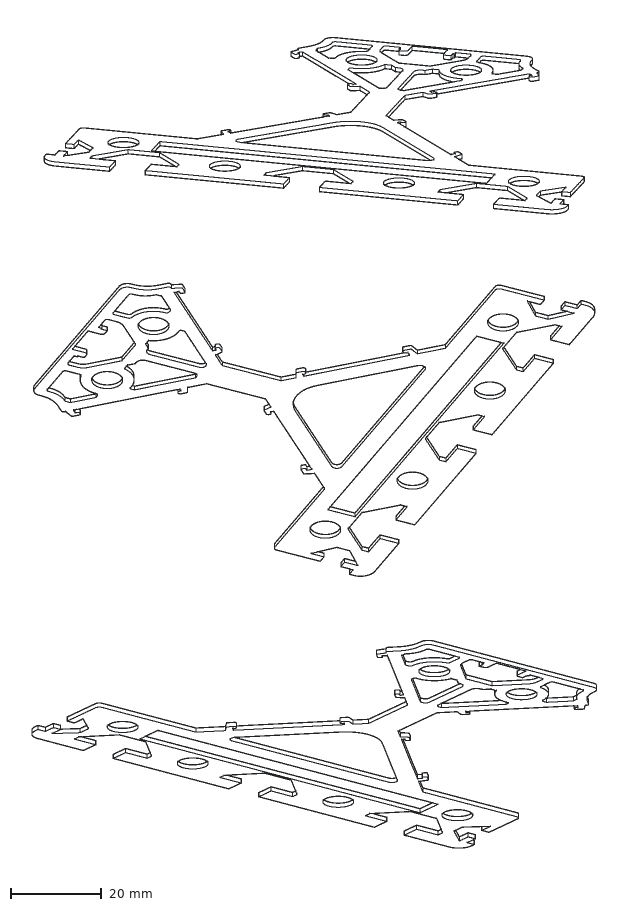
import cadquery as cq
import math


WIDTH = 120.0
HEIGHT = 99.0
THICKNESS = 1.0
HALF_WIDTH = WIDTH / 2

BASE_TOP = 24.1
BASE_EDGE_X = 58.0
BASE_CORNER_R = 1.0
FOOT_TOP = 4.6
FOOT_R = 3.5
HOLE_D = 6.8
BASE_HOLES = [(20.0, 8.0), (46.0, 17.0)]
WINDOW_HALF_LENGTH = 38.5
WINDOW_BOTTOM = 13.3
WINDOW_TOP = 19.9

T_SLOT_PITCH = 40.0
T_SLOT_MOUTH_HALF = 4.1
T_SLOT_HALF = 10.0
T_SLOT_ROOF_HALF = 3.6
T_SLOT_SHOULDER = 6.2
T_SLOT_ROOF = T_SLOT_SHOULDER + T_SLOT_HALF - T_SLOT_ROOF_HALF

END_SLOT_Y = 10.1
END_SLOT_MOUTH_HALF = 2.5
END_SLOT_HALF = 5.7
END_SLOT_FLOOR_HALF = 1.55
END_SLOT_LIP_X = 56.0
END_SLOT_FLOOR_X = 51.4

LEG_ANGLE = 135.0
LEG_OUTER_SUM = 55.3
LEG_INNER_SUM = 48.9
LEG_WINDOW_BOTTOM = 24.5
LEG_WINDOW_TOP_R = 8.0
LEG_WINDOW_CORNER_R = 1.2

NECK_HALF = 4.05
ARM_ANGLE = 45.0
ARM_OUTER_DIFF = 61.5
ARM_INNER_DIFF = 65.9

HEAD_HALF = 23.9
HEAD_CORNER_R = 2.0
HEAD_SIDE_BOTTOM = 93.5
HEAD_SIDE_R = 7.0
ARM_TIP_R = 0.6

HEAD_HOLE = (12.0, 86.0)
HOLE_BOSS_R = 5.95
POCKET_R = 0.6
SIDE_POCKET_TOP = 96.3
SIDE_POCKET_INNER_X = 12.5
SIDE_POCKET_WALL_X = 21.6
SIDE_POCKET_WALL_BOTTOM = 92.8
SIDE_POCKET_OUTER_X = 23.6
SIDE_POCKET_OUTER_TOP = 90.8
SIDE_POCKET_WALL_R = 6.0
SIDE_POCKET_BOTTOM = 85.3
LOWER_POCKET_INNER_X = 1.3
LOWER_POCKET_OUTER_X = 13.0
LOWER_POCKET_BOTTOM = 68.8
LOWER_POCKET_TOP = 84.5
LOWER_POCKET_STEP_Y = 83.2
LOWER_POCKET_BEVEL_X = 4.7
LOWER_POCKET_TOP_R = 1.5
LOWER_POCKET_BOTTOM_R = 1.0
LOWER_POCKET_TIP_R = 0.4
CENTER_POCKET_HALF = 10.1
CENTER_POCKET_FLOOR_HALF = 3.6
CENTER_POCKET_FLOOR = 86.4
CENTER_POCKET_SHOULDER_R = 3.0
CENTER_POCKET_SHOULDER = CENTER_POCKET_FLOOR + CENTER_POCKET_HALF - CENTER_POCKET_FLOOR_HALF
CENTER_POCKET_TOP = 96.7
CENTER_RECESS_TOP = 98.2
CENTER_LIP_BOTTOM = 94.4
CENTER_LIP_OUTER_X = 6.0
CENTER_LIP_STEP_X = 6.35
CENTER_LIP_STEP_Y = 95.9
CENTER_LIP_R = 0.8

HOOK_ROOT_WIDTH = 1.8
HOOK_STEM_WIDTH = 1.2
HOOK_REACH = 0.9
HOOK_LIP = 1.15
HOOK_ROOT_DEPTH = 0.5
NECK_HOOK_HEIGHT = 1.9
NECK_HOOK_R = 0.55
END_HOOK_HEIGHT = 2.3
END_HOOK_R = 0.3
ARM_HOOKS_X = (8.5, 26.1)
LEG_HOOKS_X = (7.8, 25.3)


def plate(points):
    return cq.Workplane("XY").polyline(points).close().extrude(THICKNESS)


def disc(center, radius):
    return cq.Workplane("XY").center(*center).circle(radius).extrude(THICKNESS)


def round_corners(body, corners, radius):
    """Fillet the upright edges standing on the given outline corners."""
    reach = 0.01
    for x, y in corners:
        low = (x - reach, y - reach, -reach)
        high = (x + reach, y + reach, THICKNESS + reach)
        body = body.edges("|Z").edges(cq.selectors.BoxSelector(low, high)).fillet(radius)
    return body


def make_outline():
    foot_corner = (HALF_WIDTH, 0)
    base_corner = (BASE_EDGE_X, BASE_TOP)
    head_corner = (HEAD_HALF, HEIGHT)
    head_side = (HEAD_HALF, HEAD_SIDE_BOTTOM)
    tip_x = (HEAD_HALF + HEAD_SIDE_BOTTOM - ARM_OUTER_DIFF) / 2
    arm_tip = (tip_x, tip_x + ARM_OUTER_DIFF)
    body = plate([
        (0, 0),
        foot_corner,
        (HALF_WIDTH, FOOT_TOP),
        (BASE_EDGE_X, FOOT_TOP),
        base_corner,
        (LEG_OUTER_SUM - BASE_TOP, BASE_TOP),
        (NECK_HALF, LEG_OUTER_SUM - NECK_HALF),
        (NECK_HALF, ARM_OUTER_DIFF + NECK_HALF),
        arm_tip,
        head_side,
        head_corner,
        (0, HEIGHT),
    ])
    body = round_corners(body, [foot_corner], FOOT_R)
    body = round_corners(body, [base_corner], BASE_CORNER_R)
    body = round_corners(body, [head_corner], HEAD_CORNER_R)
    body = round_corners(body, [head_side], HEAD_SIDE_R)
    return round_corners(body, [arm_tip], ARM_TIP_R)


def make_t_slot(center_x):
    right_side = [
        (T_SLOT_MOUTH_HALF, 0),
        (T_SLOT_MOUTH_HALF, FOOT_TOP),
        (T_SLOT_HALF, FOOT_TOP),
        (T_SLOT_HALF, T_SLOT_SHOULDER),
        (T_SLOT_ROOF_HALF, T_SLOT_ROOF),
    ]
    left_side = [(-x, y) for x, y in reversed(right_side)]
    return plate(right_side + left_side).translate((center_x, 0, 0))


def make_end_slot():
    upper_side = [
        (HALF_WIDTH, END_SLOT_MOUTH_HALF),
        (END_SLOT_LIP_X, END_SLOT_MOUTH_HALF),
        (END_SLOT_LIP_X, END_SLOT_HALF),
        (END_SLOT_FLOOR_X, END_SLOT_FLOOR_HALF),
    ]
    lower_side = [(x, -y) for x, y in reversed(upper_side)]
    return plate(upper_side + lower_side).translate((0, END_SLOT_Y, 0))


def make_base_window():
    return plate([
        (0, WINDOW_BOTTOM),
        (WINDOW_HALF_LENGTH, WINDOW_BOTTOM),
        (WINDOW_HALF_LENGTH, WINDOW_TOP),
        (0, WINDOW_TOP),
    ])


def make_leg_window():
    reach = LEG_INNER_SUM - LEG_WINDOW_BOTTOM
    left = (-reach, LEG_WINDOW_BOTTOM)
    right = (reach, LEG_WINDOW_BOTTOM)
    apex = (0, LEG_INNER_SUM)
    window = plate([left, right, apex])
    window = round_corners(window, [left, right], LEG_WINDOW_CORNER_R)
    return round_corners(window, [apex], LEG_WINDOW_TOP_R)


def make_side_pocket():
    """Opening between the head side, the arm and the ring around the head hole."""
    bottom_x = SIDE_POCKET_BOTTOM - ARM_INNER_DIFF
    top_inner = (SIDE_POCKET_INNER_X, SIDE_POCKET_TOP)
    top_outer = (SIDE_POCKET_WALL_X, SIDE_POCKET_TOP)
    wall_bottom = (SIDE_POCKET_WALL_X, SIDE_POCKET_WALL_BOTTOM)
    pocket = plate([
        (SIDE_POCKET_INNER_X, SIDE_POCKET_BOTTOM),
        top_inner,
        top_outer,
        wall_bottom,
        (SIDE_POCKET_OUTER_X, SIDE_POCKET_OUTER_TOP),
        (SIDE_POCKET_OUTER_X, SIDE_POCKET_OUTER_X + ARM_INNER_DIFF),
        (bottom_x, SIDE_POCKET_BOTTOM),
    ])
    pocket = round_corners(pocket, [wall_bottom], SIDE_POCKET_WALL_R)
    pocket = pocket.cut(disc(HEAD_HOLE, HOLE_BOSS_R))
    hole_x, hole_y = HEAD_HOLE
    ring_top = hole_y + math.sqrt(HOLE_BOSS_R**2 - (SIDE_POCKET_INNER_X - hole_x) ** 2)
    ring_side = hole_x + math.sqrt(HOLE_BOSS_R**2 - (SIDE_POCKET_BOTTOM - hole_y) ** 2)
    corners = [
        top_inner,
        top_outer,
        (SIDE_POCKET_INNER_X, ring_top),
        (ring_side, SIDE_POCKET_BOTTOM),
    ]
    return round_corners(pocket, corners, POCKET_R)


def make_lower_pocket():
    """Opening between the central web, the arm and the ring around the head hole."""
    bottom_x = LOWER_POCKET_BOTTOM - ARM_INNER_DIFF
    bevel_end_x = LOWER_POCKET_BEVEL_X - (LOWER_POCKET_TOP - LOWER_POCKET_STEP_Y)
    bottom_inner = (LOWER_POCKET_INNER_X, LOWER_POCKET_BOTTOM)
    top_inner = (LOWER_POCKET_INNER_X, LOWER_POCKET_STEP_Y)
    pocket = plate([
        bottom_inner,
        (bottom_x, LOWER_POCKET_BOTTOM),
        (LOWER_POCKET_OUTER_X, LOWER_POCKET_OUTER_X + ARM_INNER_DIFF),
        (LOWER_POCKET_OUTER_X, LOWER_POCKET_TOP),
        (LOWER_POCKET_BEVEL_X, LOWER_POCKET_TOP),
        (bevel_end_x, LOWER_POCKET_STEP_Y),
        top_inner,
    ])
    pocket = round_corners(pocket, [bottom_inner], LOWER_POCKET_BOTTOM_R)
    pocket = round_corners(pocket, [top_inner], LOWER_POCKET_TOP_R)
    pocket = pocket.cut(disc(HEAD_HOLE, HOLE_BOSS_R))
    hole_x, hole_y = HEAD_HOLE
    ring_bottom = hole_y - math.sqrt(HOLE_BOSS_R**2 - (LOWER_POCKET_OUTER_X - hole_x) ** 2)
    return round_corners(pocket, [(LOWER_POCKET_OUTER_X, ring_bottom)], LOWER_POCKET_TIP_R)


def make_center_pocket():
    """Half of the central head opening, with a lip hanging beside its top recess."""
    lip_inner = (NECK_HALF, CENTER_LIP_BOTTOM)
    shoulder = (CENTER_POCKET_HALF, CENTER_POCKET_SHOULDER)
    top_outer = (CENTER_POCKET_HALF, CENTER_POCKET_TOP)
    pocket = plate([
        (0, CENTER_POCKET_FLOOR),
        (CENTER_POCKET_FLOOR_HALF, CENTER_POCKET_FLOOR),
        shoulder,
        top_outer,
        (CENTER_LIP_STEP_X, CENTER_POCKET_TOP),
        (CENTER_LIP_STEP_X, CENTER_LIP_STEP_Y),
        (CENTER_LIP_OUTER_X, CENTER_LIP_STEP_Y),
        (CENTER_LIP_OUTER_X, CENTER_LIP_BOTTOM),
        lip_inner,
        (NECK_HALF, CENTER_RECESS_TOP),
        (0, CENTER_RECESS_TOP),
    ])
    pocket = round_corners(pocket, [top_outer], POCKET_R)
    pocket = round_corners(pocket, [shoulder], CENTER_POCKET_SHOULDER_R)
    return round_corners(pocket, [lip_inner], CENTER_LIP_R)


def make_hook(root, angle, side, height, radius):
    """L-shaped clip with a tapered stem, standing on a face that runs along the given angle.

    The lip points forward along the face for side = 1 and backward for side = -1.
    """
    stem_top = (-side * HOOK_STEM_WIDTH, -height)
    lip_top = (side * HOOK_REACH, -height)
    lip_bottom = (side * HOOK_REACH, HOOK_LIP - height)
    hook = plate([
        (0, HOOK_ROOT_DEPTH),
        (0, HOOK_LIP - height),
        lip_bottom,
        lip_top,
        stem_top,
        (-side * HOOK_ROOT_WIDTH, 0),
        (-side * HOOK_ROOT_WIDTH, HOOK_ROOT_DEPTH),
    ])
    hook = round_corners(hook, [stem_top, lip_top, lip_bottom], radius)
    return hook.rotate((0, 0, 0), (0, 0, 1), angle).translate((*root, 0))


def add_hooks(body):
    """Each arm and leg carries a facing pair: one hook by the neck, one by the far end."""
    neck_x, end_x = ARM_HOOKS_X
    neck_root = (neck_x, ARM_OUTER_DIFF + neck_x)
    end_root = (end_x, ARM_OUTER_DIFF + end_x)
    body = body.union(make_hook(neck_root, ARM_ANGLE, 1, NECK_HOOK_HEIGHT, NECK_HOOK_R))
    body = body.union(make_hook(end_root, ARM_ANGLE, -1, END_HOOK_HEIGHT, END_HOOK_R))
    neck_x, end_x = LEG_HOOKS_X
    neck_root = (neck_x, LEG_OUTER_SUM - neck_x)
    end_root = (end_x, LEG_OUTER_SUM - end_x)
    body = body.union(make_hook(neck_root, LEG_ANGLE, -1, NECK_HOOK_HEIGHT, NECK_HOOK_R))
    return body.union(make_hook(end_root, LEG_ANGLE, 1, END_HOOK_HEIGHT, END_HOOK_R))


def make_half():
    half = make_outline()
    for center_x in (0, T_SLOT_PITCH):
        half = half.cut(make_t_slot(center_x))
    half = half.cut(make_end_slot())
    half = half.cut(make_base_window())
    half = half.cut(make_leg_window())
    half = half.cut(make_side_pocket())
    half = half.cut(make_lower_pocket())
    half = half.cut(make_center_pocket())
    for center in BASE_HOLES + [HEAD_HOLE]:
        half = half.cut(disc(center, HOLE_D / 2))
    return add_hooks(half)


right_half = make_half()
result = right_half.union(right_half.mirror("YZ")).clean()